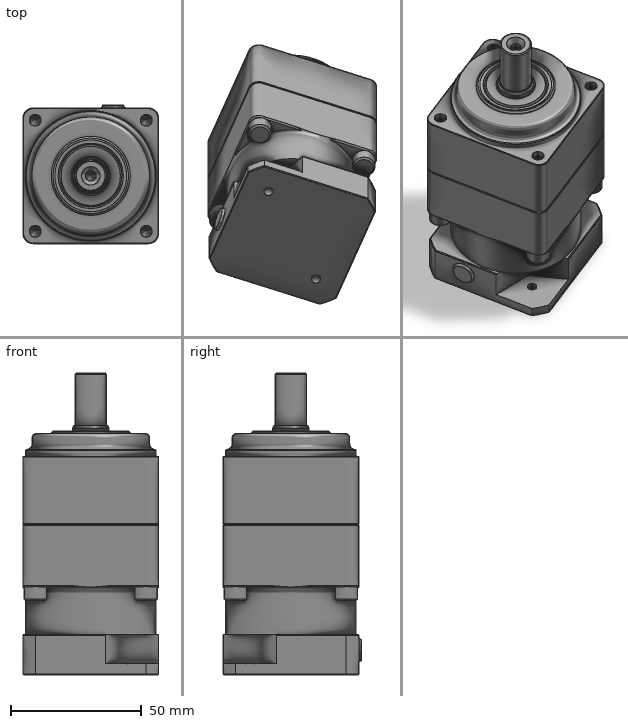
import cadquery as cq
import math

LEDGE_TOP = 4.3
ADAPTER_TOP = 15.5
HOUSING_BOTTOM = 33.7
HOUSING_JOINT = 57.5
HOUSING_TOP = 83.6
RING_TOP = 86.3
PILOT_TOP = 92.4
SEAL_TOP = 93.3
COLLAR_SHOULDER = 94.4
COLLAR_TOP = 95.4
SHAFT_TOP = 115.5

SIDE = 52.0
HALF = SIDE / 2
EDGE_CHAMFER = 0.3
HOUSING_TOP_CHAMFER = 0.2
HOUSING_BOTTOM_CHAMFER = 0.6
HOUSING_CORNER_RADIUS = 4.0
ADAPTER_CORNER_DIAMETER = 67.0

BODY_DIAMETER = 50.0
BODY_RADIUS = BODY_DIAMETER / 2
BODY_FILLET = 2.8
RING_FILLET = 0.3
PILOT_RADIUS = 22.5
PILOT_FILLET = 1.8
SEAL_RADIUS = 15.1
SEAL_CHAMFER = 0.7
SEAL_RIM_RADIUS = 13.7
SEAL_RIM_HEIGHT = 0.2
SEAL_FACE = SEAL_TOP - SEAL_RIM_HEIGHT
SEAL_GROOVE_OUTER = 12.5
SEAL_GROOVE_INNER = 11.3
SEAL_GROOVE_DEPTH = 0.7
LIP_RADIUS = 7.5
LIP_DEPTH = 0.7
COLLAR_DIAMETER = 14.0
COLLAR_NECK_RADIUS = 6.5
SHAFT_DIAMETER = 12.0
SHAFT_CHAMFER = 0.5

DRILL_POINT_ANGLE = 118.0
SCREW_OFFSET = 21.3
HOUSING_HOLE_DIAMETER = 4.5
HOUSING_HOLE_DEPTH = 11.5
SCREW_HEAD_DIAMETER = 8.5
SCREW_HEAD_HEIGHT = 5.3
SCREW_HEAD_CHAMFER = 0.7
CENTRE_HOLE_DIAMETER = 4.0
CENTRE_HOLE_DEPTH = 11.5
COUNTERSINK_DIAMETER = 7.0
COUNTERSINK_DEPTH = 2.1

NOTCH_MOUTH = 5.5
NOTCH_ROOT_NEAR = 10.5
NOTCH_ROOT_FAR = 13.4
NOTCH_ROOT_MIDDLE = 11.5
MOUNT_HOLE_DIAMETER = 3.5
MOUNT_HOLE_OFFSET = 15.6

PLUG_X = 8.5
PLUG_Z = 9.5
PLUG_BASE_DIAMETER = 9.1
PLUG_TOP_DIAMETER = 8.0
PLUG_HEIGHT = 1.0


def arc_inset(radius):
    """Distance from a square corner, along each side, to the middle of a fillet arc."""
    return radius * (1 - math.sqrt(0.5))


def square_block(bottom, top):
    return cq.Workplane("XY").workplane(offset=bottom).rect(SIDE, SIDE).extrude(top - bottom)


def drilled_hole(x, y, top, diameter, depth):
    """Blind hole going down from `top`, ending in a drill point."""
    radius = diameter / 2
    point = radius / math.tan(math.radians(DRILL_POINT_ANGLE / 2))
    profile = [(0, top), (radius, top), (radius, top - depth), (0, top - depth - point)]
    hole = cq.Workplane("XZ").polyline(profile).close().revolve(360, (0, 0), (0, 1))
    return hole.translate((x, y, 0))


def rounded_half(bottom, top, bottom_chamfer, top_chamfer):
    half = square_block(bottom, top).edges("|Z").fillet(HOUSING_CORNER_RADIUS)
    return half.faces("<Z").chamfer(bottom_chamfer).faces(">Z").chamfer(top_chamfer)


def housing():
    """Two square halves whose chamfers form a V-groove at the joint."""
    lower = rounded_half(HOUSING_BOTTOM, HOUSING_JOINT, HOUSING_BOTTOM_CHAMFER, EDGE_CHAMFER)
    upper = rounded_half(HOUSING_JOINT, HOUSING_TOP, EDGE_CHAMFER, HOUSING_TOP_CHAMFER)
    return lower.union(upper)


def lower_body():
    """Round body flaring into the housing; the flare is trimmed flush with the housing sides."""
    flare_top = HOUSING_BOTTOM + HOUSING_BOTTOM_CHAMFER
    flare_start = flare_top - BODY_FILLET
    flare_radius = BODY_RADIUS + BODY_FILLET
    inset = arc_inset(BODY_FILLET)
    body = (
        cq.Workplane("XZ")
        .moveTo(0, ADAPTER_TOP)
        .lineTo(BODY_RADIUS, ADAPTER_TOP)
        .lineTo(BODY_RADIUS, flare_start)
        .threePointArc((BODY_RADIUS + inset, flare_top - inset), (flare_radius, flare_top))
        .lineTo(0, flare_top)
        .close()
        .revolve(360, (0, 0), (0, 1))
    )
    return body.intersect(square_block(ADAPTER_TOP, flare_top))


def output_end():
    """Ring, pilot, seal and shaft, turned as one profile that is rooted inside the upper housing half."""
    ring_shoulder = BODY_RADIUS - EDGE_CHAMFER
    cove = ring_shoulder - PILOT_RADIUS
    cove_inset = arc_inset(cove)
    pilot_inset = arc_inset(PILOT_FILLET)
    foot_radius = BODY_RADIUS + RING_FILLET
    foot_inset = arc_inset(RING_FILLET)
    collar_radius = COLLAR_DIAMETER / 2
    shaft_radius = SHAFT_DIAMETER / 2
    groove_middle = (SEAL_GROOVE_OUTER + SEAL_GROOVE_INNER) / 2
    return (
        cq.Workplane("XZ")
        .moveTo(0, HOUSING_JOINT)
        .lineTo(foot_radius, HOUSING_JOINT)
        .lineTo(foot_radius, HOUSING_TOP)
        .threePointArc(
            (BODY_RADIUS + foot_inset, HOUSING_TOP + foot_inset), (BODY_RADIUS, HOUSING_TOP + RING_FILLET)
        )
        .lineTo(BODY_RADIUS, RING_TOP - EDGE_CHAMFER)
        .lineTo(ring_shoulder, RING_TOP)
        .threePointArc((PILOT_RADIUS + cove_inset, RING_TOP + cove_inset), (PILOT_RADIUS, RING_TOP + cove))
        .lineTo(PILOT_RADIUS, PILOT_TOP - PILOT_FILLET)
        .threePointArc(
            (PILOT_RADIUS - pilot_inset, PILOT_TOP - pilot_inset), (PILOT_RADIUS - PILOT_FILLET, PILOT_TOP)
        )
        .lineTo(SEAL_RADIUS, PILOT_TOP)
        .lineTo(SEAL_RADIUS, SEAL_TOP - SEAL_CHAMFER)
        .lineTo(SEAL_RADIUS - SEAL_CHAMFER, SEAL_TOP)
        .lineTo(SEAL_RIM_RADIUS, SEAL_TOP)
        .lineTo(SEAL_RIM_RADIUS, SEAL_FACE)
        .lineTo(SEAL_GROOVE_OUTER, SEAL_FACE)
        .lineTo(groove_middle, SEAL_FACE - SEAL_GROOVE_DEPTH)
        .lineTo(SEAL_GROOVE_INNER, SEAL_FACE)
        .lineTo(LIP_RADIUS, SEAL_FACE)
        .lineTo(collar_radius, SEAL_FACE - LIP_DEPTH)
        .lineTo(collar_radius, COLLAR_SHOULDER)
        .lineTo(COLLAR_NECK_RADIUS, COLLAR_TOP)
        .lineTo(shaft_radius, COLLAR_TOP)
        .lineTo(shaft_radius, SHAFT_TOP - SHAFT_CHAMFER)
        .lineTo(shaft_radius - SHAFT_CHAMFER, SHAFT_TOP)
        .lineTo(0, SHAFT_TOP)
        .close()
        .revolve(360, (0, 0), (0, 1))
    )


def centre_hole():
    hole = drilled_hole(0, 0, SHAFT_TOP, CENTRE_HOLE_DIAMETER, CENTRE_HOLE_DEPTH)
    countersink = cq.Solid.makeCone(
        CENTRE_HOLE_DIAMETER / 2,
        COUNTERSINK_DIAMETER / 2,
        COUNTERSINK_DEPTH,
        cq.Vector(0, 0, SHAFT_TOP - COUNTERSINK_DEPTH),
    )
    return hole.union(cq.Workplane(countersink))


def screw_head(x, y):
    bottom = HOUSING_BOTTOM - SCREW_HEAD_HEIGHT
    head = (
        cq.Workplane("XY")
        .workplane(offset=bottom)
        .circle(SCREW_HEAD_DIAMETER / 2)
        .extrude(SCREW_HEAD_HEIGHT + HOUSING_BOTTOM_CHAMFER)
    )
    return head.faces("<Z").chamfer(SCREW_HEAD_CHAMFER).translate((x, y, 0))


def corner_notch():
    """Open V-shaped pocket with a rounded root in the (-X, +Y) corner."""
    return (
        cq.Workplane("XY")
        .workplane(offset=LEDGE_TOP)
        .moveTo(-HALF, NOTCH_MOUTH)
        .lineTo(-NOTCH_ROOT_FAR, NOTCH_ROOT_NEAR)
        .threePointArc((-NOTCH_ROOT_MIDDLE, NOTCH_ROOT_MIDDLE), (-NOTCH_ROOT_NEAR, NOTCH_ROOT_FAR))
        .lineTo(-NOTCH_MOUTH, HALF)
        .lineTo(-HALF, HALF)
        .close()
        .extrude(ADAPTER_TOP - LEDGE_TOP)
    )


def adapter():
    """Motor adapter with turned corners, two notches with mounting holes, and a side plug."""
    corner_disc = cq.Workplane("XY").circle(ADAPTER_CORNER_DIAMETER / 2).extrude(ADAPTER_TOP)
    block = square_block(0, ADAPTER_TOP).intersect(corner_disc)
    block = block.faces("<Z or >Z").chamfer(EDGE_CHAMFER)
    notch = corner_notch()
    mount_hole = (
        cq.Workplane("XY")
        .center(-MOUNT_HOLE_OFFSET, MOUNT_HOLE_OFFSET)
        .circle(MOUNT_HOLE_DIAMETER / 2)
        .extrude(LEDGE_TOP)
    )
    for turn in (0, 180):
        block = block.cut(notch.union(mount_hole).rotate((0, 0, 0), (0, 0, 1), turn))
    plug = cq.Solid.makeCone(
        PLUG_BASE_DIAMETER / 2,
        PLUG_TOP_DIAMETER / 2,
        PLUG_HEIGHT,
        cq.Vector(PLUG_X, HALF, PLUG_Z),
        cq.Vector(0, 1, 0),
    )
    return block.union(cq.Workplane(plug))


result = adapter().union(lower_body()).union(housing()).union(output_end()).cut(centre_hole())
for x in (-SCREW_OFFSET, SCREW_OFFSET):
    for y in (-SCREW_OFFSET, SCREW_OFFSET):
        result = result.union(screw_head(x, y))
        result = result.cut(drilled_hole(x, y, HOUSING_TOP, HOUSING_HOLE_DIAMETER, HOUSING_HOLE_DEPTH))